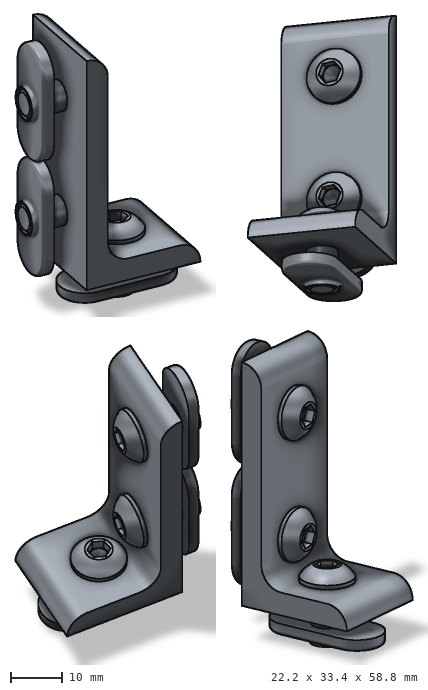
import cadquery as cq
import math

pitch = 25.4
bracket_width = 22.2
short_leg = pitch
long_leg = 2 * pitch
thickness = 4.75

shank_radius = 3.2
head_radius = 11.1 / 2
head_height = 3.35
head_rim_height = 0.9
head_flat_radius = 2.75
tip_chamfer = 0.75
hex_across_flats = 4.0
hex_turn = 8.0
hex_depth = 2.05
socket_point_angle = 120.0

plate_length = pitch
plate_width = 11.15
plate_gap = 4.2
plate_thickness = 2.5
plate_edge_fillet = 0.8
collar_radius = 3.45
collar_height = 1.25
collar_fillet = 0.7

plate_outer_z = -(plate_gap + plate_thickness)
tip_z = plate_outer_z - collar_height


def make_blank_bracket():
    """L section with quarter-round toes and a rounded inner corner."""
    bend = 2 * thickness
    arc_offset = thickness * math.sqrt(0.5)
    toe_y = short_leg - thickness
    toe_z = long_leg - thickness
    return (
        cq.Workplane("YZ")
        .lineTo(short_leg, 0)
        .threePointArc((toe_y + arc_offset, arc_offset), (toe_y, thickness))
        .lineTo(bend, thickness)
        .threePointArc((bend - arc_offset, bend - arc_offset), (thickness, bend))
        .lineTo(thickness, toe_z)
        .threePointArc((arc_offset, toe_z + arc_offset), (0, long_leg))
        .close()
        .extrude(bracket_width / 2, both=True)
    )


def make_socket():
    """Hexagonal drive recess with a conical bottom, opening at the head top."""
    top_z = thickness + head_height
    floor_z = top_z - hex_depth
    cone_radius = hex_across_flats / 2
    cone_depth = cone_radius / math.tan(math.radians(socket_point_angle / 2))
    across_corners = hex_across_flats / math.cos(math.radians(30))
    hexagon = (
        cq.Workplane("XY")
        .workplane(offset=floor_z)
        .polygon(6, across_corners)
        .extrude(hex_depth)
        .rotate((0, 0, 0), (0, 0, 1), hex_turn)
    )
    cone = (
        cq.Workplane("XZ")
        .moveTo(0, floor_z)
        .lineTo(cone_radius, floor_z)
        .lineTo(0, floor_z - cone_depth)
        .close()
        .revolve(360, (0, 0, 0), (0, 1, 0))
    )
    return hexagon.union(cone)


def make_screw():
    """Screw on the Z axis: the bracket's outer face is Z = 0, the head is up."""
    rim_z = thickness + head_rim_height
    top_z = thickness + head_height
    dome_rise = head_height - head_rim_height
    drop = (head_radius**2 - head_flat_radius**2 - dome_rise**2) / (2 * dome_rise)
    dome_radius = math.hypot(head_radius, drop)
    dome_center_z = rim_z - drop
    mid_angle = (math.atan2(drop, head_radius) + math.atan2(drop + dome_rise, head_flat_radius)) / 2
    dome_mid = (
        dome_radius * math.cos(mid_angle),
        dome_center_z + dome_radius * math.sin(mid_angle),
    )
    body = (
        cq.Workplane("XZ")
        .moveTo(0, tip_z)
        .lineTo(shank_radius - tip_chamfer, tip_z)
        .lineTo(shank_radius, tip_z + tip_chamfer)
        .lineTo(shank_radius, thickness)
        .lineTo(head_radius, thickness)
        .lineTo(head_radius, rim_z)
        .threePointArc(dome_mid, (head_flat_radius, top_z))
        .lineTo(0, top_z)
        .close()
        .revolve(360, (0, 0, 0), (0, 1, 0))
    )
    return body.cut(make_socket())


def make_nut_plate():
    """Obround plate, long along Y, with a flared collar on its outer side."""
    plate = (
        cq.Workplane("XY")
        .workplane(offset=plate_outer_z)
        .slot2D(plate_length, plate_width, 90)
        .extrude(plate_thickness)
        .faces("<Z")
        .edges()
        .fillet(plate_edge_fillet)
    )
    flare_radius = collar_radius + collar_fillet
    flare_offset = collar_fillet * (1 - math.sqrt(0.5))
    collar = (
        cq.Workplane("XZ")
        .moveTo(0, plate_outer_z)
        .lineTo(flare_radius, plate_outer_z)
        .threePointArc(
            (collar_radius + flare_offset, plate_outer_z - flare_offset),
            (collar_radius, plate_outer_z - collar_fillet),
        )
        .lineTo(collar_radius, tip_z)
        .lineTo(0, tip_z)
        .close()
        .revolve(360, (0, 0, 0), (0, 1, 0))
    )
    bore = (
        cq.Workplane("XY")
        .workplane(offset=tip_z)
        .circle(shank_radius)
        .extrude(plate_thickness + collar_height)
    )
    return plate.union(collar).cut(bore)


def make_clearance():
    """Shank hole and head seat, which also clears the bracket's inner corner."""
    shank_hole = cq.Workplane("XY").circle(shank_radius).extrude(thickness)
    head_seat = (
        cq.Workplane("XY")
        .workplane(offset=thickness)
        .circle(head_radius)
        .extrude(head_rim_height)
    )
    return shank_hole.union(head_seat)


def at_foot(body):
    """Move a body from the Z axis to the middle of the foot."""
    return body.translate((0, pitch / 2, 0))


def at_upright(body, height):
    """Turn a body so its head faces +Y, and move it up the upright."""
    return body.rotate((0, 0, 0), (1, 0, 0), -90).translate((0, 0, height))


upright_heights = [pitch * (index + 0.5) for index in range(2)]


def place_all(make_body):
    """One copy of a body in the foot and one at each position on the upright."""
    copies = [at_foot(make_body())]
    for height in upright_heights:
        copies.append(at_upright(make_body(), height))
    return copies


screws = place_all(make_screw)
nut_plates = place_all(make_nut_plate)

bracket = make_blank_bracket()
for clearance in place_all(make_clearance):
    bracket = bracket.cut(clearance)

result = cq.Compound.makeCompound(
    [
        bracket.solids().val(),
        *[screw.solids().val() for screw in screws],
        *[nut_plate.solids().val() for nut_plate in nut_plates],
    ]
)